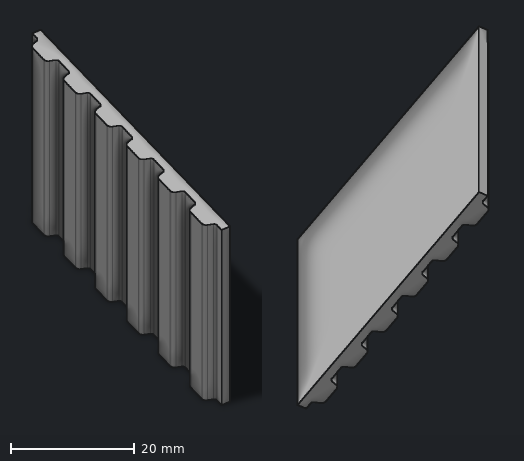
import cadquery as cq
import math

LENGTH = 57.15
WIDTH = 38.1
THICKNESS = 3.55
TOOTH_COUNT = 6
TOOTH_HEIGHT = 1.9
TOOTH_ROOT_WIDTH = 5.9
FLANK_ANGLE = 20.0
ROOT_RADIUS = 0.5
TIP_RADIUS = 0.85

END_MARGIN = 0.3
DEPTH_MARGIN = 0.05

PITCH = LENGTH / TOOTH_COUNT
BACKING = THICKNESS - TOOTH_HEIGHT
TOOTH_TIP_WIDTH = TOOTH_ROOT_WIDTH - 2 * TOOTH_HEIGHT * math.tan(math.radians(FLANK_ANGLE))


def belt_profile():
    """Sharp-cornered XY outline: back at Y = 0, teeth pointing to -Y."""
    tip_y = -THICKNESS
    root_y = -BACKING
    points = [(0, 0), (0, root_y)]
    for tooth in range(TOOTH_COUNT):
        centre = (tooth + 0.5) * PITCH
        points += [
            (centre - TOOTH_ROOT_WIDTH / 2, root_y),
            (centre - TOOTH_TIP_WIDTH / 2, tip_y),
            (centre + TOOTH_TIP_WIDTH / 2, tip_y),
            (centre + TOOTH_ROOT_WIDTH / 2, root_y),
        ]
    points += [(LENGTH, root_y), (LENGTH, 0)]
    return points


def edges_at(body, y):
    """Edges along Z at depth y, leaving out those at the two belt ends."""
    selector = cq.selectors.BoxSelector(
        (END_MARGIN, y - DEPTH_MARGIN, 0),
        (LENGTH - END_MARGIN, y + DEPTH_MARGIN, WIDTH),
    )
    return body.edges("|Z").edges(selector)


belt = cq.Workplane("XY").polyline(belt_profile()).close().extrude(WIDTH)
belt = edges_at(belt, -BACKING).fillet(ROOT_RADIUS)
result = edges_at(belt, -THICKNESS).fillet(TIP_RADIUS)